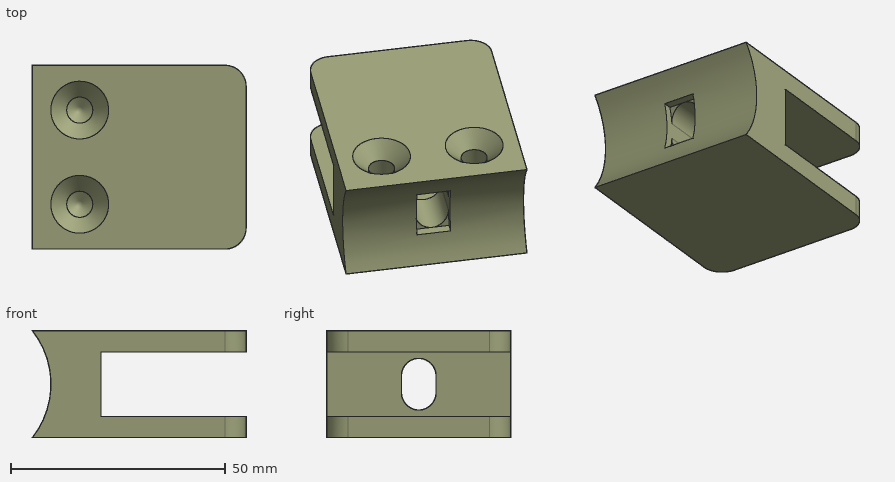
import cadquery as cq
import math

length = 50.0
width = 43.0
height = 25.0
corner_radius = 5.0

saddle_depth = 4.35

jaw_thickness = 5.0
gap_start = 16.1

slot_width = 8.0
slot_height = 12.0
mouth_depth = 2.1

screw_x = 11.1
screw_spacing = 22.0
screw_diameter = 6.1
sink_diameter = 13.5
sink_angle = 90.0
screw_depth = 15.0
drill_tip_angle = 118.0


def make_block():
    profile = (
        cq.Workplane("XZ")
        .moveTo(0, -height / 2)
        .lineTo(length, -height / 2)
        .lineTo(length, height / 2)
        .lineTo(0, height / 2)
        .threePointArc((saddle_depth, 0), (0, -height / 2))
        .close()
    )
    block = profile.extrude(width / 2, both=True)
    return block.edges("|Z and >X").fillet(corner_radius)


def make_gap():
    gap_height = height - 2 * jaw_thickness
    gap = cq.Workplane("XY").box(length, width, gap_height, centered=(False, True, True))
    return gap.translate((gap_start, 0, 0))


def make_fixing_slot():
    """Through slot whose rectangular mouth has a floor parallel to the saddle."""
    slot = cq.Workplane("YZ").slot2D(slot_height, slot_width, 90).extrude(gap_start)
    mouth = cq.Workplane("YZ").rect(slot_width, slot_height).extrude(gap_start)
    mouth = mouth.cut(make_block().translate((mouth_depth, 0, 0)))
    return slot.union(mouth)


def make_screw_hole(y):
    """Revolved cutter: countersink, straight bore and conical drill tip."""
    bore_radius = screw_diameter / 2
    sink_radius = sink_diameter / 2
    top = height / 2
    sink_depth = (sink_radius - bore_radius) / math.tan(math.radians(sink_angle / 2))
    tip_depth = bore_radius / math.tan(math.radians(drill_tip_angle / 2))
    cutter = (
        cq.Workplane("XZ")
        .moveTo(0, top)
        .lineTo(sink_radius, top)
        .lineTo(bore_radius, top - sink_depth)
        .lineTo(bore_radius, top - screw_depth)
        .lineTo(0, top - screw_depth - tip_depth)
        .close()
        .revolve(360, (0, 0, 0), (0, 1, 0))
    )
    return cutter.translate((screw_x, y, 0))


result = make_block().cut(make_gap()).cut(make_fixing_slot())
for side in (-1, 1):
    result = result.cut(make_screw_hole(side * screw_spacing / 2))